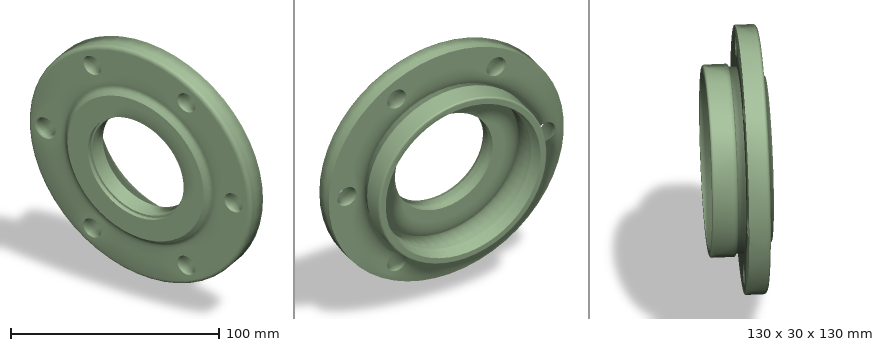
import cadquery as cq

hub_height = 3.1
flange_thickness = 10.5
neck_length = 3.9
total_depth = 30.0
flange_back = hub_height + flange_thickness
collar_front = flange_back + neck_length

flange_radius = 65.0
rim_fillet = 2.0
hub_base_radius = 42.9
hub_face_radius = hub_base_radius - hub_height
hub_fillet = 2.0
neck_radius = 90.0 / 2
collar_radius = 93.0 / 2
collar_fillet = 1.0

land_radius = 54.0 / 2
recess_radius = 56.0 / 2
rear_bore_radius = 41.3
rear_mouth_radius = 42.8
rear_mouth_depth = 6.5
recess_depth = 2.3
land_end = 11.2

hole_count = 6
hole_diameter = 10.5
bolt_circle_radius = 55.0
hole_chamfer = 0.6


def disc(radius, start, end):
    """Cylinder around the Y axis between two Y positions."""
    return cq.Workplane("XZ", origin=(0, start, 0)).circle(radius).extrude(start - end)


def cone(start_radius, end_radius, start, end, x=0):
    """Cone frustum parallel to Y, centred at the given X."""
    solid = cq.Solid.makeCone(
        start_radius, end_radius, end - start, cq.Vector(x, start, 0), cq.Vector(0, 1, 0)
    )
    return cq.Workplane(obj=solid)


def outer_body():
    flange = disc(flange_radius, hub_height, flange_back).faces("<Y").edges().fillet(rim_fillet)
    hub = cone(hub_face_radius, hub_base_radius, 0, hub_height)
    front = flange.union(hub)
    reach = 0.1
    root_box = cq.selectors.BoxSelector(
        (-flange_radius, hub_height - reach, -flange_radius),
        (flange_radius, hub_height + reach, flange_radius),
    )
    front = front.edges(root_box).edges(cq.selectors.RadiusNthSelector(0)).fillet(hub_fillet)
    neck = disc(neck_radius, flange_back, collar_front)
    collar = disc(collar_radius, collar_front, total_depth)
    collar = collar.edges("%CIRCLE").fillet(collar_fillet)
    return front.union(neck).union(collar)


def stepped_bore():
    recess = disc(recess_radius, 0, recess_depth)
    land = disc(land_radius, recess_depth, land_end)
    rear = disc(rear_bore_radius, land_end, total_depth)
    mouth_start = total_depth - rear_mouth_depth
    mouth = cone(rear_bore_radius, rear_mouth_radius, mouth_start, total_depth)
    return recess.union(land).union(rear).union(mouth)


def bolt_holes():
    holes = (
        cq.Workplane("XZ", origin=(0, hub_height, 0))
        .polarArray(bolt_circle_radius, 0, 360, hole_count)
        .circle(hole_diameter / 2)
        .extrude(-flange_thickness)
    )
    hole_radius = hole_diameter / 2
    mouth = cone(
        hole_radius + hole_chamfer,
        hole_radius,
        hub_height,
        hub_height + hole_chamfer,
        -bolt_circle_radius,
    )
    return holes.union(mouth)


result = outer_body().cut(stepped_bore()).cut(bolt_holes())